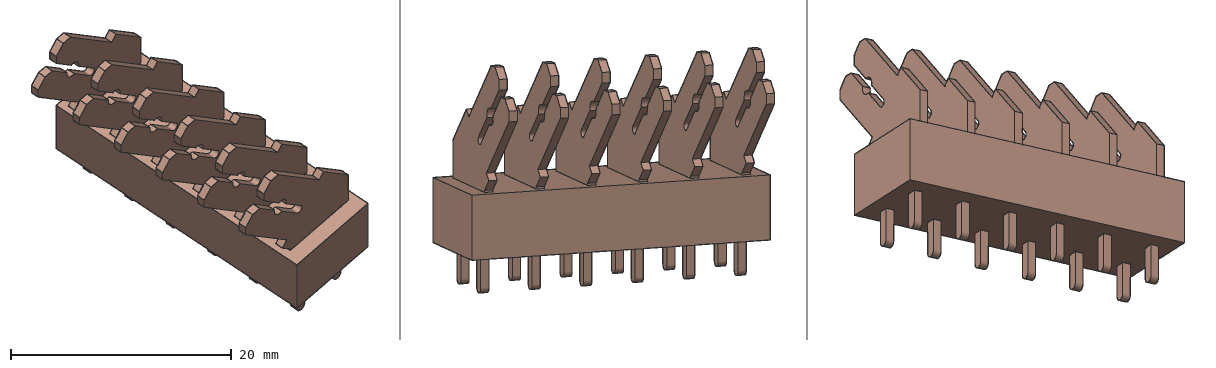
import cadquery as cq
import math

HOUSING_LENGTH = 29
HOUSING_DEPTH = 9.8
HOUSING_HEIGHT = 6.0

CONTACT_COUNT = 6
END_CONTACT_INSET = 2.0
CONTACT_PITCH = (HOUSING_LENGTH - 2 * END_CONTACT_INSET) / (CONTACT_COUNT - 1)
FIRST_CONTACT_X = -HOUSING_LENGTH / 2 + END_CONTACT_INSET
CONTACT_POSITIONS = [FIRST_CONTACT_X + i * CONTACT_PITCH for i in range(CONTACT_COUNT)]
CONTACT_THICKNESS = 0.8

LEG_SPACING = 5.0
LEG_POSITIONS = [-LEG_SPACING / 2, LEG_SPACING / 2]
LEG_WIDTH = 1.02
LEG_PROJECTION = 3.5

PLATE_WIDTH = 8.0
PLATE_REAR_HEIGHT = 3.5
BEND_ANGLE = 45

SHOULDER_DISTANCE = 3.15
TIP_DISTANCE = 11.85
BLADE_WIDTH = 6.3
PRONG_CHAMFER = 0.7
SLOT_WIDTH = 0.78
SLOT_BOTTOM_DISTANCE = 3.5
RELIEF_HOLE_DISTANCE = 7.57
RELIEF_HOLE_DIAMETER = 1.6

BEND_RADIANS = math.radians(BEND_ANGLE)
MITRE_RISE = PLATE_WIDTH / 2 * math.tan(BEND_RADIANS / 2)
PIVOT_HEIGHT = PLATE_REAR_HEIGHT - MITRE_RISE


def extrude_contact_outline(points):
    """Extrude a closed (Y, Z) outline to the contact thickness, centred on X = 0."""
    return cq.Workplane("YZ").polyline(points).close().extrude(CONTACT_THICKNESS / 2, both=True)


def make_upright_plate():
    """Vertical part of the plate, standing on Z = 0 and cut off along the bend mitre."""
    half_width = PLATE_WIDTH / 2
    return extrude_contact_outline([
        (-half_width, 0),
        (half_width, 0),
        (half_width, PLATE_REAR_HEIGHT),
        (-half_width, PIVOT_HEIGHT - MITRE_RISE),
    ])


def make_straight_blade():
    """Shouldered blade before bending, with its pivot at the origin and its tip up along Z."""
    half_plate = PLATE_WIDTH / 2
    half_blade = BLADE_WIDTH / 2
    blade = extrude_contact_outline([
        (-half_plate, MITRE_RISE),
        (half_plate, -MITRE_RISE),
        (half_plate, SHOULDER_DISTANCE),
        (half_blade, SHOULDER_DISTANCE),
        (half_blade, TIP_DISTANCE),
        (-half_blade, TIP_DISTANCE),
        (-half_blade, SHOULDER_DISTANCE),
        (-half_plate, SHOULDER_DISTANCE),
    ])

    slot_end_centre = SLOT_BOTTOM_DISTANCE + SLOT_WIDTH / 2
    slot = (
        cq.Workplane("YZ")
        .moveTo(-SLOT_WIDTH / 2, TIP_DISTANCE)
        .lineTo(-SLOT_WIDTH / 2, slot_end_centre)
        .threePointArc((0, SLOT_BOTTOM_DISTANCE), (SLOT_WIDTH / 2, slot_end_centre))
        .lineTo(SLOT_WIDTH / 2, TIP_DISTANCE)
        .close()
        .extrude(CONTACT_THICKNESS / 2, both=True)
    )
    relief_hole = (
        cq.Workplane("YZ")
        .center(0, RELIEF_HOLE_DISTANCE)
        .circle(RELIEF_HOLE_DIAMETER / 2)
        .extrude(CONTACT_THICKNESS / 2, both=True)
    )
    prongs = blade.cut(slot).cut(relief_hole)

    return prongs.faces(">Z").edges("|X").chamfer(PRONG_CHAMFER)


def make_leg(y):
    """Leg from the plate base at Z = 0 down to a fully rounded end below the housing."""
    half_width = LEG_WIDTH / 2
    tip = -(HOUSING_HEIGHT + LEG_PROJECTION)
    return (
        cq.Workplane("YZ")
        .moveTo(y - half_width, 0)
        .lineTo(y - half_width, tip + half_width)
        .threePointArc((y, tip), (y + half_width, tip + half_width))
        .lineTo(y + half_width, 0)
        .close()
        .extrude(CONTACT_THICKNESS / 2, both=True)
    )


def make_contact(x):
    """One contact, its plate resting on the housing top and its legs passing through."""
    bent_blade = (
        make_straight_blade()
        .rotate((0, 0, 0), (1, 0, 0), BEND_ANGLE)
        .translate((0, 0, PIVOT_HEIGHT))
    )
    contact = make_upright_plate().union(bent_blade)
    for y in LEG_POSITIONS:
        contact = contact.union(make_leg(y))
    return contact.translate((x, 0, HOUSING_HEIGHT))


def make_housing():
    """Rectangular block with one through hole fitted to each contact leg."""
    hole_centres = [(x, y) for x in CONTACT_POSITIONS for y in LEG_POSITIONS]
    block = cq.Workplane("XY").rect(HOUSING_LENGTH, HOUSING_DEPTH).extrude(HOUSING_HEIGHT)
    leg_holes = (
        cq.Workplane("XY")
        .pushPoints(hole_centres)
        .rect(CONTACT_THICKNESS, LEG_WIDTH)
        .extrude(HOUSING_HEIGHT)
    )
    return block.cut(leg_holes)


housing = make_housing().solids().val()
contacts = [make_contact(x).solids().val() for x in CONTACT_POSITIONS]

result = cq.Compound.makeCompound([housing, *contacts])